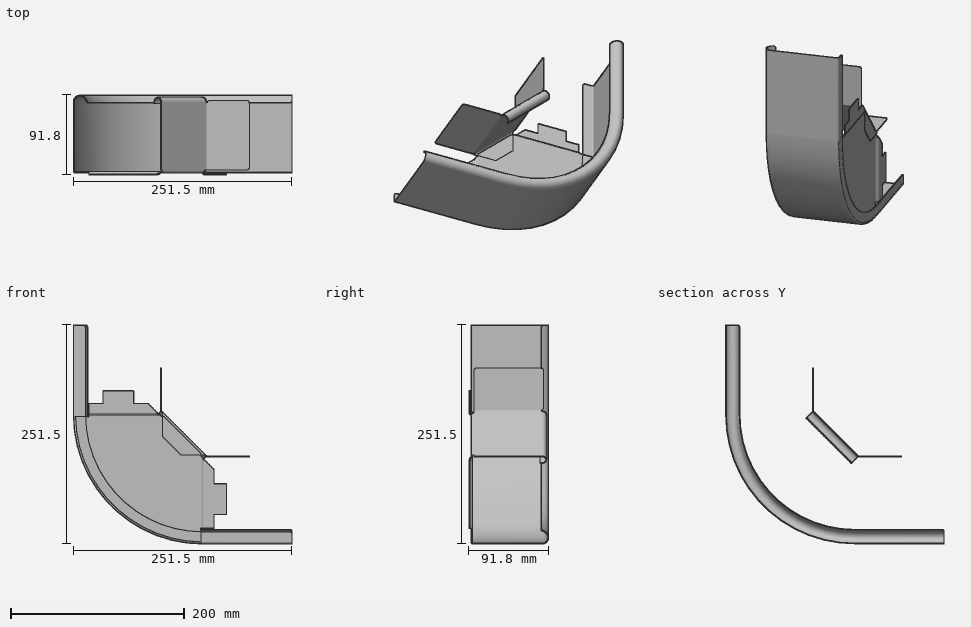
import cadquery as cq
import math

sheet = 1.0
bend_inner = 1.5
bend_outer = bend_inner + sheet

size = 251.5
back_y = 91.75
flange_y = 2.25
panel_y = flange_y + sheet

elbow_radius = 148.5
leg_length = size - elbow_radius
rail_flange = 14.0
rail_curl_radius = 7.5
rail_curl_angle = 150
rail_lip = 5.5
rail_corner = 3.5

panel_radius = elbow_radius - bend_outer
panel_top = 146.45
joggle_angle = 50
tab_left = 17.9
tab_shoulder = 161.8
tab_tip = 176.2
tip_left = 33.8
tip_right = 69.4
tab_chamfer_start = 85.7
tab_right = 96.6
ledge_z = 149.3
ledge_right = 98.8
tab_corner = 1.0

bracket_diagonal = 254.3
bracket_flange = 20.0
bracket_side = 102.3
bracket_curl_radius = 6.0
bracket_curl_y = 89.5
bracket_curl_angle = 180
bracket_lip = 1.5
bracket_lip_corner = 1.2
flap_face = 101.0
flap_end = 202.4
flap_front_y = 6.0
flap_back_y = 85.75
flap_root_back_y = bracket_curl_y - bracket_curl_radius
flap_corner = 3.0
flap_bend_inner = 0.5
flap_bend_angle = 45


def sheet_profile(plane, start, heading, steps):
    """Closed outline of a bent strip, following its left face from start.

    heading is in degrees. Each step is ("straight", length) or ("bend", angle, inner radius);
    positive angles turn left. The strip's thickness lies to the right of the path.
    """
    def shifted(point, angle, distance):
        turn = math.radians(angle)
        return (point[0] + distance * math.cos(turn), point[1] + distance * math.sin(turn))

    left = [start]
    right = [shifted(start, heading - 90, sheet)]
    arc_middles = []
    for step in steps:
        if step[0] == "straight":
            left.append(shifted(left[-1], heading, step[1]))
            arc_middles.append(None)
        else:
            turn, inner = step[1], step[2]
            side = math.copysign(90, turn)
            radius = inner if turn > 0 else inner + sheet
            centre = shifted(left[-1], heading + side, radius)
            middle = shifted(centre, heading + turn / 2 - side, radius)
            arc_middles.append((middle, shifted(middle, heading + turn / 2 - 90, sheet)))
            heading += turn
            left.append(shifted(centre, heading - side, radius))
        right.append(shifted(left[-1], heading - 90, sheet))

    outline = cq.Workplane(plane).moveTo(*left[0])
    for middle, end in zip(arc_middles, left[1:]):
        outline = outline.threePointArc(middle[0], end) if middle else outline.lineTo(*end)
    outline = outline.lineTo(*right[-1])
    for middle, end in zip(reversed(arc_middles), reversed(right[:-1])):
        outline = outline.threePointArc(middle[1], end) if middle else outline.lineTo(*end)
    return outline.close()


def swap_x_and_z(shape):
    """Mirror image about the plane X = Z."""
    return cq.Workplane(shape.val().mirror(cq.Vector(1, 0, -1)))


def plan_prism(points, front, back):
    """Prism over an X-Z outline, between two Y positions."""
    plane = cq.Plane(origin=(0, front, 0), xDir=(1, 0, 0), normal=(0, -1, 0))
    return cq.Workplane(plane).polyline(points).close().extrude(front - back)


def round_corner(body, x, y, z, radius):
    """Round the sheet's corner at one point: fillet the short edge that crosses the thickness there."""
    reach = 0.6 * sheet
    near_corner = cq.selectors.BoxSelector(
        (x - reach, y - reach, z - reach), (x + reach, y + reach, z + reach))
    return body.edges(near_corner).fillet(radius)


def channel_profile(plane, flange, rear_y, curl_radius, curl_angle, lip):
    """Channel outline: front flange, web and back curl.

    The plane's first axis points inward from the web's outer face, its second along Y.
    """
    web = rear_y - flange_y - bend_outer - curl_radius
    steps = [
        ("straight", flange - bend_outer),
        ("bend", -90, bend_inner),
        ("straight", web),
        ("bend", -curl_angle, curl_radius - sheet),
        ("straight", lip),
    ]
    return sheet_profile(plane, (flange, flange_y), 180, steps)


def make_rail():
    """Channel that follows the outside of the elbow, with a straight leg at each end."""
    plane = cq.Plane(origin=(0, 0, elbow_radius), xDir=(1, 0, 0), normal=(0, 0, 1))
    profile = channel_profile(
        plane, rail_flange, back_y, rail_curl_radius, rail_curl_angle, rail_lip)
    leg = profile.extrude(leg_length)
    elbow = profile.toPending().revolve(90, (elbow_radius, 0, 0), (elbow_radius, -1, 0))

    overshoot = math.radians(rail_curl_angle - 90)
    lip_x = rail_curl_radius * (1 + math.sin(overshoot)) + rail_lip * math.cos(overshoot)
    lip_y = back_y - rail_curl_radius * (1 - math.cos(overshoot)) - rail_lip * math.sin(overshoot)
    for x, y in [(rail_flange, flange_y), (lip_x, lip_y)]:
        leg = round_corner(leg, x, y, size, rail_corner)
    return elbow.union(leg).union(swap_x_and_z(leg))


def make_tab():
    """Joggle along the panel's top edge, stepping forward to a stepped tab."""
    bend_angle = math.radians(joggle_angle)
    bend_depth = (bend_inner + bend_outer) * (1 - math.cos(bend_angle))
    slope = (panel_y - bend_depth) / math.sin(bend_angle)
    steps = [
        ("bend", joggle_angle, bend_inner),
        ("straight", slope),
        ("bend", -joggle_angle, bend_inner),
        ("straight", tab_tip - panel_top),
    ]
    plane = cq.Plane(origin=(0, 0, 0), xDir=(0, 0, 1), normal=(1, 0, 0))
    strip = sheet_profile(plane, (panel_top, -panel_y), 0, steps).extrude(size)

    chamfer_end_z = tab_shoulder - (tab_right - tab_chamfer_start)
    outline = plan_prism(
        [
            (tab_left, panel_top),
            (tab_left, tab_shoulder),
            (tip_left, tab_shoulder),
            (tip_left, tab_tip),
            (tip_right, tab_tip),
            (tip_right, tab_shoulder),
            (tab_chamfer_start, tab_shoulder),
            (tab_right, chamfer_end_z),
            (tab_right, ledge_z),
            (ledge_right, ledge_z),
            (ledge_right + ledge_z - panel_top, panel_top),
        ],
        0, panel_y + sheet)
    tab = strip.intersect(outline)
    for x in (tip_left, tip_right):
        tab = round_corner(tab, x, sheet / 2, tab_tip, tab_corner)
    return tab


def make_panel():
    """Flat front panel behind the flanges, with a joggled tab on each straight edge."""
    diagonal = bracket_diagonal - bend_outer * math.sqrt(2)
    far_corner = diagonal - panel_top
    blank = plan_prism(
        [
            (0, 0),
            (panel_top, 0),
            (panel_top, far_corner),
            (far_corner, panel_top),
            (0, panel_top),
        ],
        panel_y, panel_y + sheet)
    disc = (
        cq.Workplane(cq.Plane(origin=(0, panel_y, 0), xDir=(1, 0, 0), normal=(0, -1, 0)))
        .center(elbow_radius, elbow_radius)
        .circle(panel_radius)
        .extrude(-sheet)
    )
    tab = make_tab()
    return blank.intersect(disc).union(tab).union(swap_x_and_z(tab))


def make_flap(bend_end_z):
    """Upright flap with rounded corners; its back edge widens just past the root."""
    widening = flap_back_y - flap_root_back_y
    plane = cq.Plane(origin=(flap_face - sheet, 0, 0), xDir=(0, 1, 0), normal=(1, 0, 0))
    flap = (
        cq.Workplane(plane)
        .moveTo(flap_front_y, bend_end_z)
        .lineTo(flap_root_back_y, bend_end_z)
        .lineTo(flap_back_y, bend_end_z + widening)
        .lineTo(flap_back_y, flap_end)
        .lineTo(flap_front_y, flap_end)
        .close()
        .extrude(sheet)
    )
    return flap.faces(">Z").edges("|X").fillet(flap_corner)


def make_bracket():
    """Diagonal wall with a front flange, a back curl and a flap bent off each end."""
    bend_angle = math.radians(flap_bend_angle)
    bend_across = flap_bend_inner * (1 - math.cos(bend_angle))
    bend_along = flap_bend_inner * math.sin(bend_angle)
    wall_start_x = flap_face + bend_across
    wall_start_z = bracket_diagonal - wall_start_x
    wall_length = (wall_start_z - wall_start_x) * math.sqrt(2)
    bend_end_z = wall_start_z + bend_along

    front_plane = cq.Plane(origin=(0, flap_front_y, 0), xDir=(1, 0, 0), normal=(0, -1, 0))
    bent_wall = sheet_profile(
        front_plane,
        (flap_face, bend_end_z),
        -90,
        [
            ("bend", flap_bend_angle, flap_bend_inner),
            ("straight", wall_length),
            ("bend", flap_bend_angle, flap_bend_inner),
        ],
    ).extrude(flap_front_y - flap_root_back_y)

    diagonal_plane = cq.Plane(
        origin=(wall_start_x, 0, wall_start_z), xDir=(-1, 0, -1), normal=(1, 0, -1))
    bracket = channel_profile(
        diagonal_plane, bracket_flange, bracket_curl_y, bracket_curl_radius, bracket_curl_angle,
        bracket_lip,
    ).extrude(wall_length)
    lip_inset = 2 * bracket_curl_radius / math.sqrt(2)
    lip_y = flap_root_back_y - bracket_lip
    for x, z in [(wall_start_x, wall_start_z), (wall_start_z, wall_start_x)]:
        bracket = round_corner(bracket, x - lip_inset, lip_y, z - lip_inset, bracket_lip_corner)

    side_waste = plan_prism(
        [(0, 0), (bracket_side, 0), (bracket_side, size), (0, size)], 0, flap_front_y)
    bracket = bracket.cut(side_waste).cut(swap_x_and_z(side_waste))

    flap = make_flap(bend_end_z)
    return bracket.union(bent_wall).union(flap).union(swap_x_and_z(flap))


rail = make_rail()
panel = make_panel()
bracket = make_bracket()

result = cq.Compound.makeCompound([rail.val(), panel.val(), bracket.val()])